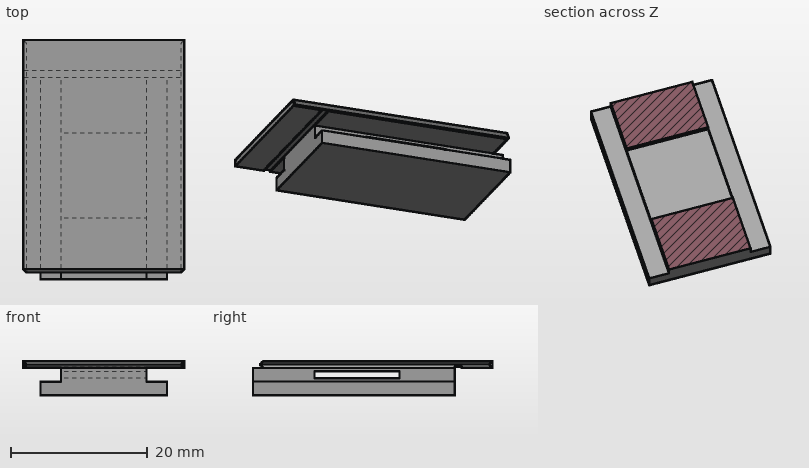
import cadquery as cq

overall_width = 23.54
overall_length = 35.0
overall_height = 5.0

foot_length = 29.5
flange_width = 18.5
flange_height = 2.0
stem_width = 12.5

plate_thickness = 1.0
tip_setback = 1.0
v_depth = plate_thickness / 2
plate_bottom = overall_height - plate_thickness
plate_middle = plate_bottom + v_depth

slot_length = 12.4
slot_height = 1.0
slot_start = 9.0
slot_bottom = 2.5

relief_length = 1.0
relief_depth = 0.15


def box_from(width, start_y, length, bottom_z, height):
    """Box centred on X, starting at the given Y and Z."""
    return (
        cq.Workplane("XY", origin=(0, start_y, bottom_z))
        .rect(width, length)
        .extrude(height)
        .translate((0, length / 2, 0))
    )


def make_foot():
    flange = box_from(flange_width, 0, foot_length, 0, flange_height)
    stem = box_from(stem_width, 0, foot_length, flange_height, plate_bottom - flange_height)
    slot = box_from(stem_width, slot_start, slot_length, slot_bottom, slot_height)
    return flange.union(stem).cut(slot)


def make_plate():
    """Plate outline in YZ with the pointed tongue, extruded across the full width."""
    tongue_root = tip_setback + v_depth
    return (
        cq.Workplane("YZ")
        .moveTo(tip_setback, plate_middle)
        .lineTo(tongue_root, overall_height)
        .lineTo(overall_length, overall_height)
        .lineTo(overall_length, plate_bottom)
        .lineTo(tongue_root, plate_bottom)
        .close()
        .extrude(overall_width / 2, both=True)
    )


def make_side_groove(side):
    """V groove open at the front; its rear end tapers at 45 degrees to the back corner."""
    edge_x = side * overall_width / 2
    root_x = edge_x - side * v_depth
    groove = (
        cq.Workplane("XZ")
        .moveTo(edge_x, plate_bottom)
        .lineTo(root_x, plate_middle)
        .lineTo(edge_x, overall_height)
        .close()
        .extrude(-overall_length)
    )
    rear_taper = (
        cq.Workplane("XY", origin=(0, 0, plate_bottom))
        .moveTo(edge_x, overall_length)
        .lineTo(root_x, overall_length - v_depth)
        .lineTo(root_x, overall_length)
        .close()
        .extrude(plate_thickness)
    )
    return groove.cut(rear_taper)


plate = make_plate()
for side in (-1, 1):
    plate = plate.cut(make_side_groove(side))

relief = box_from(overall_width, foot_length, relief_length, plate_bottom, relief_depth)
result = make_foot().union(plate.cut(relief))